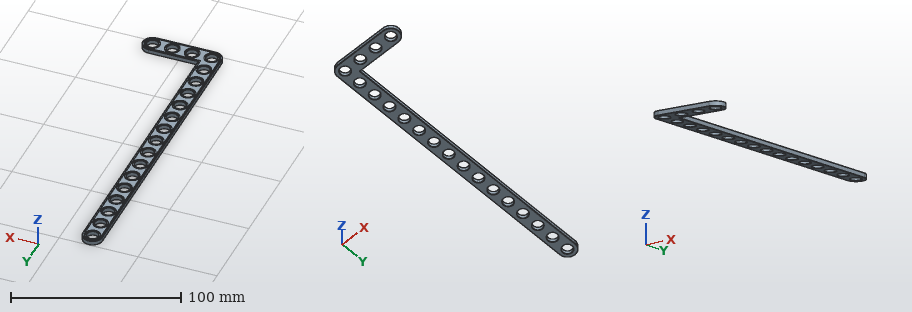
import cadquery as cq

pitch = 12.5
long_count = 16
short_count = 4
hole_diameter = 7.0
collar_diameter = 9.2
recess_depth = 0.2
edge_chamfer = 0.3

arm_width = pitch
thickness = pitch / 4
rim_width = (collar_diameter - hole_diameter) / 2
long_reach = (long_count - 1) * pitch
short_reach = (short_count - 1) * pitch
hole_centers = [(0, i * pitch) for i in range(long_count)]
hole_centers += [(i * pitch, 0) for i in range(1, short_count)]


def angle_plate(width, height):
    """L-shaped plate with round ends, its corner hole centred on the origin."""
    base = cq.Workplane("XY")
    long_arm = base.center(0, long_reach / 2).slot2D(long_reach + width, width, 90).extrude(height)
    short_arm = base.center(short_reach / 2, 0).slot2D(short_reach + width, width).extrude(height)
    return long_arm.union(short_arm)


def discs(diameter, height):
    """One cylinder standing on every hole centre."""
    return cq.Workplane("XY").pushPoints(hole_centers).circle(diameter / 2).extrude(height)


perforated = angle_plate(arm_width, thickness).cut(discs(hole_diameter, thickness))
perforated = perforated.faces("<Z or >Z").chamfer(edge_chamfer)

recess = angle_plate(arm_width - 2 * rim_width, recess_depth).cut(discs(collar_diameter, recess_depth))
result = perforated.cut(recess.translate((0, 0, thickness - recess_depth)))